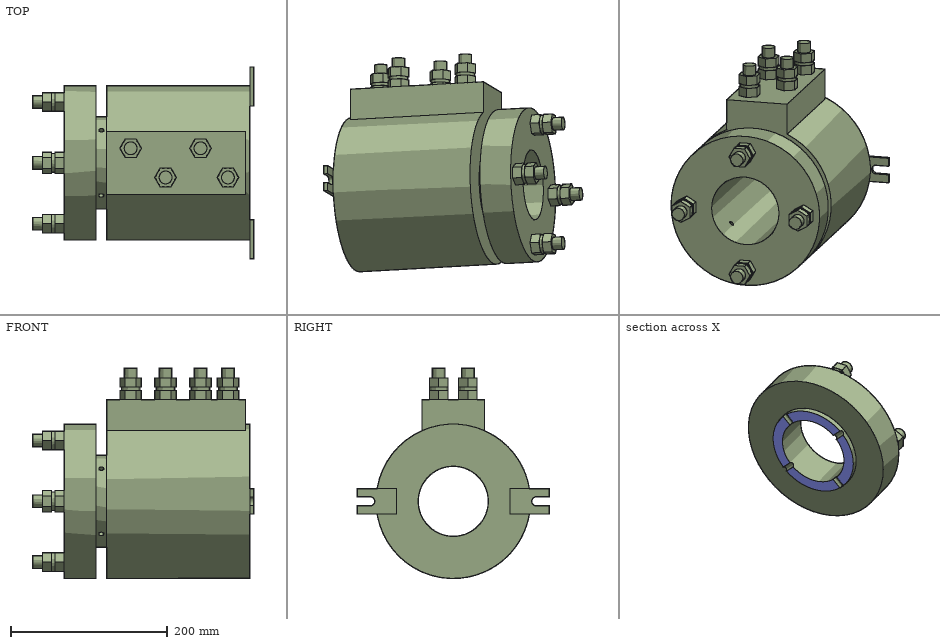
import cadquery as cq
import math

stud_length = 40.2
flange_thickness = 41.0
neck_length = 13.3
body_length = 183.5
tab_thickness = 5.0
outer_diameter = 197.8
neck_diameter = 118.3
bore_diameter = 89.5

flange_x = stud_length
neck_x = flange_x + flange_thickness
body_x = neck_x + neck_length
body_end_x = body_x + body_length

box_length = 178.0
box_width = 80.5
box_top_z = 130.2

nut_flats = 24.0
nut_corners = nut_flats / math.cos(math.radians(30))
nut_thickness = 12.0
washer_thickness = 4.0
washer_diameter = nut_flats
stud_diameter = 16.5
flange_stud_radius = 77.8
flange_stud_count = 4
box_stud_y = 18.7
box_stud_places = [
    (125.5, box_stud_y),
    (170.0, -box_stud_y),
    (214.8, box_stud_y),
    (250.0, -box_stud_y),
]

tab_span = 246.0
tab_length = 50.5
tab_height = 32.5
slot_width = 11.3
slot_depth = 22.4

screw_hole_diameter = 6.2
screw_hole_count = 4
first_screw_hole_angle = 45


def cylinder_x(start, length, diameter):
    """Cylinder on the X axis, starting at the given X."""
    return cq.Workplane("YZ", origin=(start, 0, 0)).circle(diameter / 2).extrude(length)


def terminal_stud():
    """Stud standing on the origin along +Z, with two nut corners on the X axis."""
    upper_nut_z = nut_thickness + washer_thickness
    stud = cq.Workplane("XY").circle(stud_diameter / 2).extrude(stud_length)
    nut = cq.Workplane("XY").polygon(6, nut_corners).extrude(nut_thickness)
    washer = cq.Workplane("XY").circle(washer_diameter / 2).extrude(upper_nut_z)
    return stud.union(washer).union(nut).union(nut.translate((0, 0, upper_nut_z)))


def flange_stud(angle):
    """Stud on the front face of the flange, at an angle around X from the top."""
    stud = terminal_stud().rotate((0, 0, 0), (0, 0, 1), 90)
    stud = stud.rotate((0, 0, 0), (0, 1, 0), -90)
    stud = stud.translate((flange_x, 0, flange_stud_radius))
    return stud.rotate((0, 0, 0), (1, 0, 0), angle)


def mounting_tab():
    """Tab on the +Y side of the rear face, with a round-ended slot open outward."""
    outer_y = tab_span / 2
    plane = cq.Workplane("YZ", origin=(body_end_x, 0, 0))
    plate = plane.center(outer_y - tab_length / 2, 0).rect(tab_length, tab_height).extrude(tab_thickness)
    slot = plane.center(outer_y, 0).slot2D(2 * slot_depth, slot_width).extrude(tab_thickness)
    return plate.cut(slot)


def neck_screw_hole(angle):
    """Cutter for one radial hole at mid-neck, at an angle around X from the top."""
    hole = cq.Workplane("XY", origin=(neck_x + neck_length / 2, 0, 0))
    hole = hole.circle(screw_hole_diameter / 2).extrude(neck_diameter)
    return hole.rotate((0, 0, 0), (1, 0, 0), angle)


result = cylinder_x(flange_x, flange_thickness, outer_diameter)
result = result.union(cylinder_x(neck_x, neck_length, neck_diameter))
result = result.union(cylinder_x(body_x, body_length, outer_diameter))

box = cq.Workplane("XY").box(box_length, box_width, box_top_z, centered=(False, True, False))
result = result.union(box.translate((body_x, 0, 0)))

result = result.cut(cylinder_x(flange_x, body_end_x - flange_x, bore_diameter))
for index in range(screw_hole_count):
    hole_angle = first_screw_hole_angle + index * 360 / screw_hole_count
    result = result.cut(neck_screw_hole(hole_angle))

for index in range(flange_stud_count):
    result = result.union(flange_stud(index * 360 / flange_stud_count))
for stud_x, stud_y in box_stud_places:
    result = result.union(terminal_stud().translate((stud_x, stud_y, box_top_z)))

tab = mounting_tab()
result = result.union(tab).union(tab.mirror("XZ"))